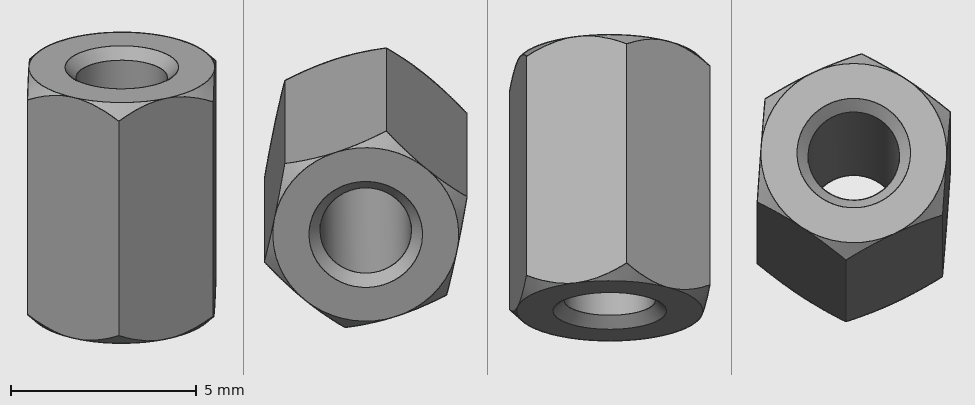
import cadquery as cq
import math

length = 7.0
across_flats = 5.0
bore_diameter = 2.46
countersink_diameter = 3.05
countersink_angle = 90.0
chamfer_angle = 45.0

across_corners = across_flats / math.cos(math.radians(30))
flat_radius = across_flats / 2
corner_radius = across_corners / 2
bore_radius = bore_diameter / 2
countersink_radius = countersink_diameter / 2
chamfer_height = (corner_radius - flat_radius) * math.tan(math.radians(chamfer_angle))
countersink_depth = (countersink_radius - bore_radius) / math.tan(math.radians(countersink_angle / 2))


def hex_bar():
    """Hexagonal bar along Z with two corners on the X axis."""
    return cq.Workplane("XY").polygon(6, across_corners).extrude(length)


def chamfer_envelope():
    """Turned solid with conical ends that trims the hexagon corners."""
    half_profile = [
        (0, 0),
        (flat_radius, 0),
        (corner_radius, chamfer_height),
        (corner_radius, length - chamfer_height),
        (flat_radius, length),
        (0, length),
    ]
    return cq.Workplane("XZ").polyline(half_profile).close().revolve(360, (0, 0), (0, 1))


def countersunk_bore():
    """Through bore with a countersink at each end."""
    half_profile = [
        (0, 0),
        (countersink_radius, 0),
        (bore_radius, countersink_depth),
        (bore_radius, length - countersink_depth),
        (countersink_radius, length),
        (0, length),
    ]
    return cq.Workplane("XZ").polyline(half_profile).close().revolve(360, (0, 0), (0, 1))


result = hex_bar().intersect(chamfer_envelope()).cut(countersunk_bore())